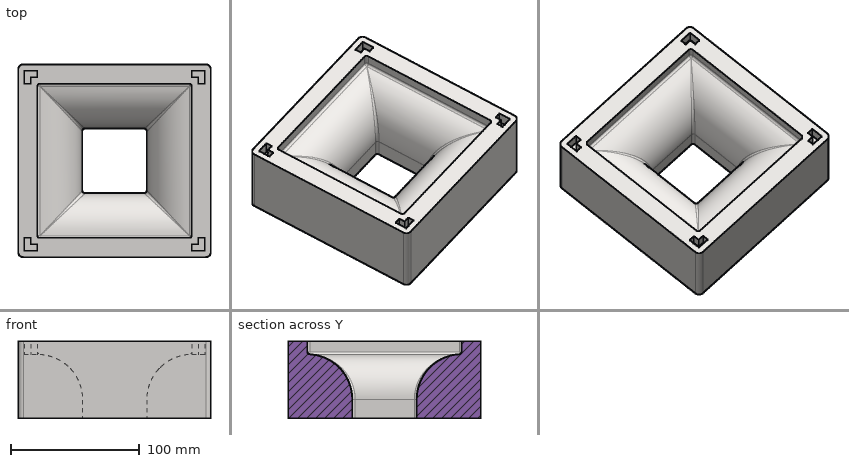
import cadquery as cq
import math

block_side = 150.0
block_height = 60.0
block_corner_radius = 4.0

throat_side = 50.0
throat_height = 15.0
mouth_side = 120.0
flare_radius = (mouth_side - throat_side) / 2
flare_top = throat_height + flare_radius
opening_fillet = 2.0

pocket_margin = 5.0
pocket_leg_length = 10.0
pocket_leg_width = 5.0
pocket_depth = 10.0
corner_count = 4


def make_block():
    """Plain square block with rounded vertical edges."""
    block = cq.Workplane("XY").box(block_side, block_side, block_height, centered=(True, True, False))
    return block.edges("|Z").fillet(block_corner_radius)


def flare_prism(plane):
    """Opening profile on a vertical plane, extruded across the full width of the mouth."""
    throat_half = throat_side / 2
    mouth_half = mouth_side / 2
    arc_offset = flare_radius * math.sqrt(0.5)
    arc_middle_across = mouth_half - arc_offset
    arc_middle_height = throat_height + arc_offset
    return (
        cq.Workplane(plane)
        .moveTo(-throat_half, 0)
        .lineTo(throat_half, 0)
        .lineTo(throat_half, throat_height)
        .threePointArc((arc_middle_across, arc_middle_height), (mouth_half, flare_top))
        .lineTo(mouth_half, block_height)
        .lineTo(-mouth_half, block_height)
        .lineTo(-mouth_half, flare_top)
        .threePointArc((-arc_middle_across, arc_middle_height), (-throat_half, throat_height))
        .close()
        .extrude(mouth_half, both=True)
    )


def make_opening():
    """Cutter for the flared opening, with its mitred corners and the rim above the flare rounded."""
    opening = flare_prism("XZ").intersect(flare_prism("YZ"))
    mitred_corners = opening.edges("not #Z")
    rim_zone = cq.selectors.BoxSelector(
        (-mouth_side, -mouth_side, throat_height + flare_radius / 2),
        (mouth_side, mouth_side, (flare_top + block_height) / 2),
    )
    mouth_rim = opening.edges("#Z").edges(rim_zone)
    return mitred_corners.add(mouth_rim).fillet(opening_fillet)


def make_corner_pockets():
    """Cutters for the L-shaped pockets, each with its legs along the two sides of a block corner."""
    outer = block_side / 2 - pocket_margin
    leg_side = outer - pocket_leg_width
    leg_end = outer - pocket_leg_length
    outline = [
        (outer, outer),
        (leg_end, outer),
        (leg_end, leg_side),
        (leg_side, leg_side),
        (leg_side, leg_end),
        (outer, leg_end),
    ]
    pocket_floor = cq.Workplane("XY").workplane(offset=block_height - pocket_depth)
    pocket = pocket_floor.polyline(outline).close().extrude(pocket_depth)
    pockets = pocket
    for corner in range(1, corner_count):
        turn = corner * 360 / corner_count
        pockets = pockets.union(pocket.rotate((0, 0, 0), (0, 0, 1), turn))
    return pockets


result = make_block().cut(make_opening()).cut(make_corner_pockets())